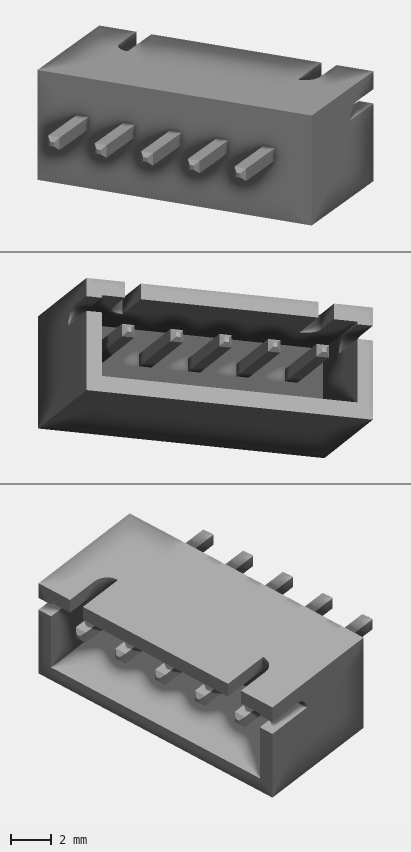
import cadquery as cq
import math

housing_length = 14.94
housing_depth = 6.99
housing_height = 5.75
wall = 0.8
cavity_depth = 4.99

pin_count = 5
pin_pitch = 2.54
pin_width = 0.64
pin_row_shift = 0.06
pin_height = 3.4
pin_protrusion = 3.45
pin_recess = 0.24
tip_length = 0.21

top_slot_width = 0.82
top_slot_depth = 2.69
top_slot_edge = 2.02

end_slot_height = 0.75
end_slot_depth = 2.65
end_slot_drop = 0.94
end_slot_radius = 0.8

half_length = housing_length / 2
mouth_y = housing_depth


def make_housing():
    """Box hollowed from the mouth, leaving a floor at the pin side."""
    box = cq.Workplane("XY").box(
        housing_length, housing_depth, housing_height, centered=(True, False, False)
    )
    cavity = (
        cq.Workplane("XY")
        .box(
            housing_length - 2 * wall,
            cavity_depth,
            housing_height - 2 * wall,
            centered=(True, False, False),
        )
        .translate((0, mouth_y - cavity_depth, wall))
    )
    return box.cut(cavity)


def make_top_slot(side):
    """Slot through the top wall; side is -1 or 1. Its outer inside corner is a quarter circle."""
    outer_x = side * (half_length - top_slot_edge)
    inner_x = outer_x - side * top_slot_width
    end_y = mouth_y - top_slot_depth
    arc_start_y = end_y + top_slot_width
    arc_reach = top_slot_width * math.sqrt(0.5)
    return (
        cq.Workplane("XY")
        .workplane(offset=housing_height - wall)
        .moveTo(outer_x, mouth_y)
        .lineTo(outer_x, arc_start_y)
        .threePointArc((inner_x + side * arc_reach, arc_start_y - arc_reach), (inner_x, end_y))
        .lineTo(inner_x, mouth_y)
        .close()
        .extrude(wall)
    )


def make_end_slots():
    """One bar through both end walls, rounded inside by an arc that runs smoothly into its top."""
    top_z = housing_height - end_slot_drop
    bottom_z = top_z - end_slot_height
    end_y = mouth_y - end_slot_depth
    arc_reach = math.sqrt(end_slot_radius**2 - (end_slot_radius - end_slot_height) ** 2)
    return (
        cq.Workplane("YZ")
        .workplane(offset=-half_length)
        .moveTo(mouth_y, bottom_z)
        .lineTo(end_y, bottom_z)
        .radiusArc((end_y + arc_reach, top_z), end_slot_radius)
        .lineTo(mouth_y, top_z)
        .close()
        .extrude(housing_length)
    )


def make_pin(x):
    """Square pin with a chamfered tip at both ends."""
    length = pin_protrusion + housing_depth - pin_recess
    pin = cq.Workplane("XY").box(pin_width, length, pin_width, centered=(True, False, True))
    pin = pin.faces("<Y or >Y").chamfer(tip_length)
    return pin.translate((x, -pin_protrusion, pin_height))


result = make_housing().cut(make_end_slots())

for side in (-1, 1):
    result = result.cut(make_top_slot(side))

for index in range(pin_count):
    pin_x = pin_row_shift + (index - (pin_count - 1) / 2) * pin_pitch
    result = result.union(make_pin(pin_x))